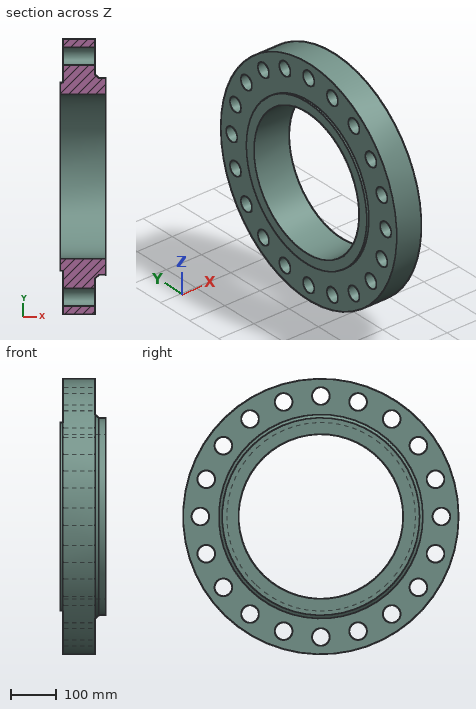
import cadquery as cq

outer_diameter = 603.0
bore_diameter = 359.5
raised_face_diameter = 412.5
hub_end_diameter = 432.0
hub_base_diameter = 446.5

total_length = 100.0
raised_face_height = 6.0
disc_thickness = 70.5
hub_taper_length = 8.5

bolt_count = 20
bolt_circle_diameter = 527.0
bolt_hole_diameter = 38.0

disc_front_x = raised_face_height
disc_back_x = disc_front_x + disc_thickness
taper_end_x = disc_back_x + hub_taper_length


def flange_body():
    """Revolve the half section; the sketch's Y is the radius."""
    section = [
        (0, bore_diameter / 2),
        (0, raised_face_diameter / 2),
        (disc_front_x, raised_face_diameter / 2),
        (disc_front_x, outer_diameter / 2),
        (disc_back_x, outer_diameter / 2),
        (disc_back_x, hub_base_diameter / 2),
        (taper_end_x, hub_end_diameter / 2),
        (total_length, hub_end_diameter / 2),
        (total_length, bore_diameter / 2),
    ]
    return cq.Workplane("XY").polyline(section).close().revolve(360, (0, 0, 0), (1, 0, 0))


def bolt_holes():
    """Evenly spaced through cylinders, one of them on the +Y axis."""
    return (
        cq.Workplane("YZ")
        .polarArray(bolt_circle_diameter / 2, 0, 360, bolt_count)
        .circle(bolt_hole_diameter / 2)
        .extrude(total_length)
    )


result = flange_body().cut(bolt_holes())